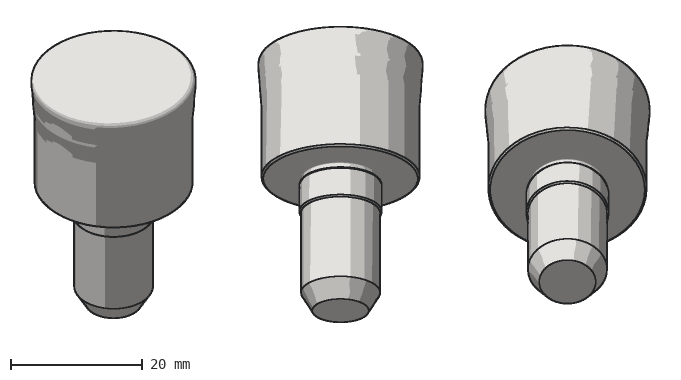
import cadquery as cq

total_height = 42.0
head_height = 20.0
head_bottom = total_height - head_height

rim_radius = 25.0 / 2
body_radius = 12.0
middle_band_radius = (rim_radius + body_radius) / 2
rim_rounding = 1.0
band_height = 0.5
taper_height = 3.0
head_chamfer = 0.3

shank_radius = 6.0
neck_radius = 5.92
neck_height = 0.6
neck_top_fillet = 0.15
neck_fillet_height = 0.25
collar_radius = 6.25
shoulder_radius = 6.1
collar_lead_in = 0.25
collar_bottom = 16.5
collar_undercut = 0.25
tip_height = 3.0
tip_radius = 4.3

rim_band_top = total_height - rim_rounding
rim_band_bottom = rim_band_top - band_height
middle_band_top = rim_band_bottom - taper_height
middle_band_bottom = middle_band_top - band_height
body_top = middle_band_bottom - taper_height
neck_bottom = head_bottom - neck_height
shoulder_level = neck_bottom - neck_fillet_height
collar_top = shoulder_level - collar_lead_in

profile = (
    cq.Workplane("XZ")
    .lineTo(tip_radius, 0)
    .lineTo(shank_radius, tip_height)
    .lineTo(shank_radius, collar_bottom - collar_undercut)
    .lineTo(collar_radius, collar_bottom)
    .lineTo(collar_radius, collar_top)
    .lineTo(shoulder_radius, shoulder_level)
    .radiusArc((neck_radius, neck_bottom), neck_fillet_height)
    .lineTo(neck_radius, head_bottom - neck_top_fillet)
    .radiusArc((neck_radius + neck_top_fillet, head_bottom), neck_top_fillet)
    .lineTo(body_radius - head_chamfer, head_bottom)
    .lineTo(body_radius, head_bottom + head_chamfer)
    .lineTo(body_radius, body_top)
    .lineTo(middle_band_radius, middle_band_bottom)
    .lineTo(middle_band_radius, middle_band_top)
    .lineTo(rim_radius, rim_band_bottom)
    .lineTo(rim_radius, rim_band_top)
    .radiusArc((rim_radius - rim_rounding, total_height), -rim_rounding)
    .lineTo(0, total_height)
    .close()
)

result = profile.revolve(360, (0, 0, 0), (0, 1, 0))